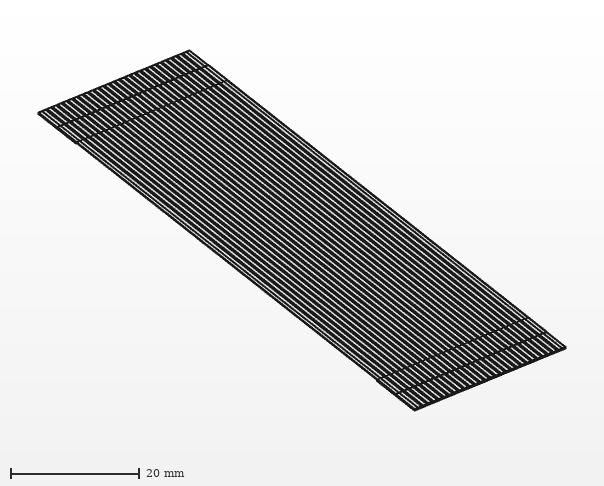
import cadquery as cq

LENGTH = 100.0
PITCH = 1.0
CONDUCTOR_COUNT = 28
CONDUCTOR_WIDTH = 0.7
STRIPPED_LENGTH = 5.0
STIFFENER_LENGTH = 10.0

TOTAL_THICKNESS = 0.36
BASE_THICKNESS = 0.08
CONDUCTOR_THICKNESS = 0.015
COVER_THICKNESS = 0.055

WIDTH = (CONDUCTOR_COUNT + 1) * PITCH
COVER_LENGTH = LENGTH - 2 * STRIPPED_LENGTH
STIFFENER_THICKNESS = TOTAL_THICKNESS - BASE_THICKNESS - CONDUCTOR_THICKNESS - COVER_THICKNESS

CONDUCTOR_Z = BASE_THICKNESS
COVER_Z = CONDUCTOR_Z + CONDUCTOR_THICKNESS


def layer(length, width, thickness, bottom, x=0.0, y=0.0):
    """Flat rectangular layer centred on (x, y) with its underside at bottom."""
    block = cq.Workplane("XY").box(length, width, thickness, centered=(True, True, False))
    return block.translate((x, y, bottom))


def make_conductors():
    """Parallel full-length strips, separated by open channels."""
    first_y = -(CONDUCTOR_COUNT - 1) * PITCH / 2
    return [
        layer(LENGTH, CONDUCTOR_WIDTH, CONDUCTOR_THICKNESS, CONDUCTOR_Z, y=first_y + index * PITCH)
        for index in range(CONDUCTOR_COUNT)
    ]


def make_stiffeners():
    """Backing plates flush with the two cable ends."""
    centre_x = (LENGTH - STIFFENER_LENGTH) / 2
    return [
        layer(STIFFENER_LENGTH, WIDTH, STIFFENER_THICKNESS, -STIFFENER_THICKNESS, x=side * centre_x)
        for side in (-1, 1)
    ]


base_film = layer(LENGTH, WIDTH, BASE_THICKNESS, 0.0)

cover_film = layer(COVER_LENGTH, WIDTH, COVER_THICKNESS, COVER_Z)

result = base_film
for piece in make_conductors() + make_stiffeners() + [cover_film]:
    result = result.union(piece)